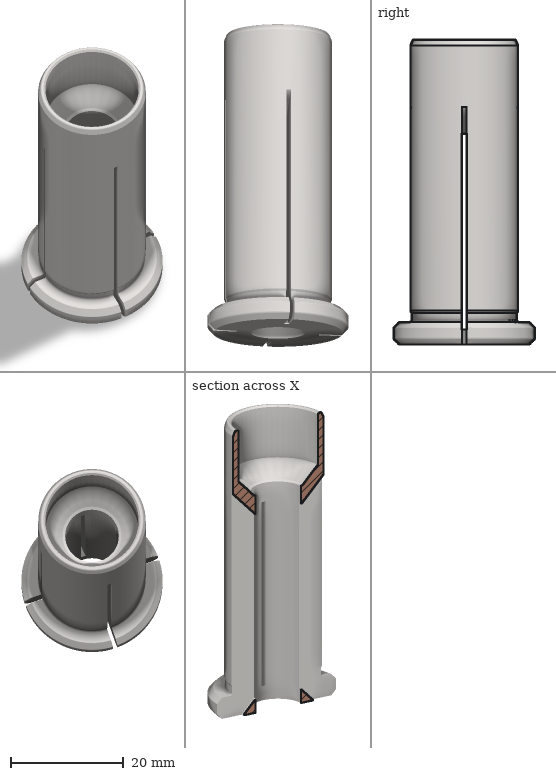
import cadquery as cq

height = 54
flange_radius = 25.0 / 2
body_radius = 19.05 / 2

flange_height = 4.0
flange_chamfer = 1.0
flange_edge_round = 0.45
flange_upper_round = 0.15

neck_radius = 9.35
neck_fillet = 0.3
neck_top = 5.6
neck_taper_top = 6.0

rim_chamfer_width = 0.5
rim_chamfer_height = 1.0
rim_round = 0.3
mouth_chamfer = 0.3

socket_radius = 16.5 / 2
socket_depth = 9.85
lead_in_radius = 10.5 / 2
lead_in_height = 0.25
bore_radius = 9.5 / 2
socket_floor = height - socket_depth
funnel_bottom = socket_floor - (socket_radius - lead_in_radius)
lead_in_bottom = funnel_bottom - lead_in_height

slot_count = 4
slot_width = 0.85
slot_inner_bottom = 2.7
slot_inner_top = 37.3
slot_reach = flange_radius + 0.55


def round_rim(body, level, radius):
    """Round the largest circular edge at the given level."""
    tolerance = 0.005
    level_band = cq.selectors.BoxSelector(
        (-slot_reach, -slot_reach, level - tolerance),
        (slot_reach, slot_reach, level + tolerance),
    )
    rim = body.edges("%CIRCLE").edges(level_band).edges(cq.selectors.RadiusNthSelector(-1))
    return body.newObject(rim.vals()).fillet(radius)


def make_outer_body():
    """Revolve the flange, neck and sleeve as a solid."""
    body = (
        cq.Workplane("XZ")
        .lineTo(flange_radius - flange_chamfer, 0)
        .lineTo(flange_radius, flange_chamfer)
        .lineTo(flange_radius, flange_height - flange_chamfer)
        .lineTo(flange_radius - flange_chamfer, flange_height)
        .lineTo(neck_radius + neck_fillet, flange_height)
        .radiusArc((neck_radius, flange_height + neck_fillet), neck_fillet)
        .lineTo(neck_radius, neck_top)
        .lineTo(body_radius, neck_taper_top)
        .lineTo(body_radius, height - rim_chamfer_height)
        .lineTo(body_radius - rim_chamfer_width, height)
        .lineTo(0, height)
        .close()
        .revolve(360, (0, 0, 0), (0, 1, 0))
    )
    body = round_rim(body, flange_chamfer, flange_edge_round)
    body = round_rim(body, flange_height - flange_chamfer, flange_upper_round)
    body = round_rim(body, flange_height, flange_upper_round)
    return round_rim(body, height, rim_round)


def make_bore():
    """Revolve the full-length stepped bore."""
    return (
        cq.Workplane("XZ")
        .lineTo(bore_radius, 0)
        .lineTo(bore_radius, lead_in_bottom)
        .lineTo(lead_in_radius, funnel_bottom)
        .lineTo(socket_radius, socket_floor)
        .lineTo(socket_radius, height - mouth_chamfer)
        .lineTo(socket_radius + mouth_chamfer, height)
        .lineTo(0, height)
        .close()
        .revolve(360, (0, 0, 0), (0, 1, 0))
    )


def make_slot():
    """Cut one slot toward +X, widening outward along 45 degree ends."""
    return (
        cq.Workplane("XZ")
        .moveTo(0, slot_inner_bottom + bore_radius)
        .lineTo(slot_reach, slot_inner_bottom + bore_radius - slot_reach)
        .lineTo(slot_reach, slot_inner_top - bore_radius + slot_reach)
        .lineTo(0, slot_inner_top - bore_radius)
        .close()
        .extrude(slot_width / 2, both=True)
    )


result = make_outer_body().cut(make_bore())
for index in range(slot_count):
    angle = index * 360 / slot_count
    result = result.cut(make_slot().rotate((0, 0, 0), (0, 0, 1), angle))